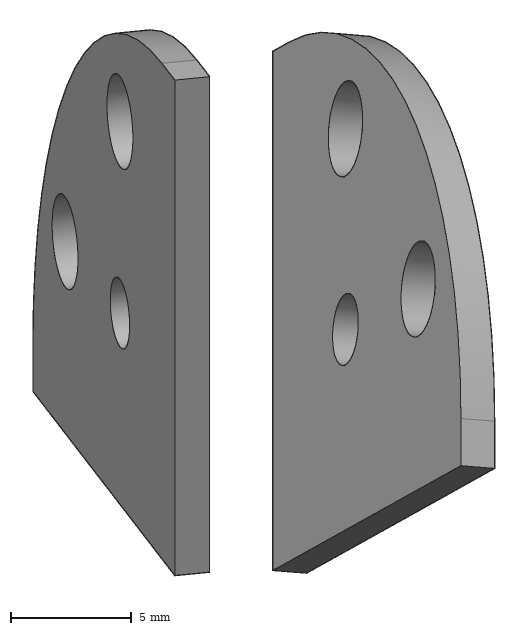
import cadquery as cq
import math

thickness = 1.5
arc_radius = 20.0
straight_length = 2.0
side = arc_radius + straight_length

near_offset = 8.5
far_offset = 17.0
small_hole_diameter = 3.0
large_hole_diameter = 4.0


def make_plate():
    """Plate whose outer corner is a large tangent arc, extruded along +Y."""
    arc_reach = arc_radius * math.sqrt(0.5)
    arc_middle = (-straight_length - arc_reach, straight_length + arc_reach)
    outline = (
        cq.Workplane("XZ")
        .moveTo(0, 0)
        .lineTo(-side, 0)
        .lineTo(-side, straight_length)
        .threePointArc(arc_middle, (-straight_length, side))
        .lineTo(0, side)
        .close()
    )
    return outline.extrude(-thickness)


def make_holes(centers, diameter):
    """Through-hole cutters along Y at the given (X, Z) centers."""
    return cq.Workplane("XZ").pushPoints(centers).circle(diameter / 2).extrude(-thickness)


small_hole_centers = [(-near_offset, near_offset)]
large_hole_centers = [(-far_offset, near_offset), (-near_offset, far_offset)]

result = (
    make_plate()
    .cut(make_holes(small_hole_centers, small_hole_diameter))
    .cut(make_holes(large_hole_centers, large_hole_diameter))
)